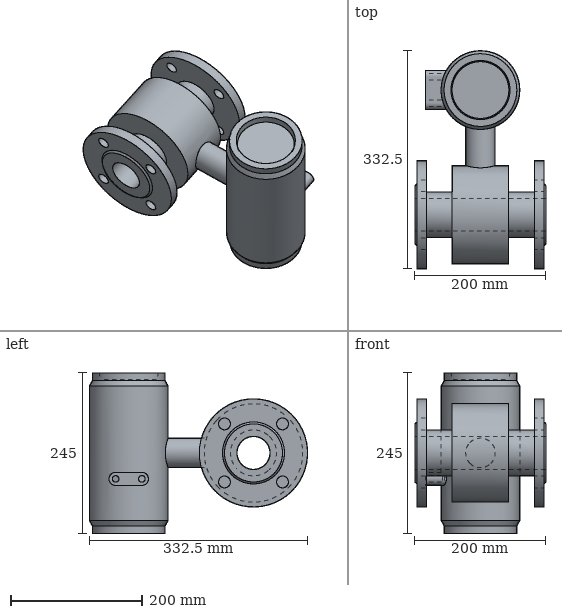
import cadquery as cq
import math

tube_length = 200.0
tube_diameter = 70.0
bore_diameter = 50.0
sensor_diameter = 150.0
sensor_length = 86.0

flange_diameter = 165.0
flange_thickness = 15.0
raised_face_height = 3.0
raised_face_tip_diameter = 88.4
raised_face_base_diameter = raised_face_tip_diameter + 2 * raised_face_height
bolt_circle_diameter = 125.0
bolt_hole_diameter = 18.0
bolt_count = 4
first_bolt_angle = 45.0

housing_offset = 190.0
housing_height = 245.0
housing_diameter = 120.0
collar_diameter = 110.76
collar_height = 12.0
shoulder_angle = 60.0
neck_diameter = 45.0
housing_drop = 0.5

window_rim_diameter = 90.0
window_depth = 10.0
window_draft = 10.0

lug_reach = 84.0
lug_height = 20.0
lug_hole_spacing = 40.0
lug_hole_diameter = 10.0
lug_level = -39.5


def x_cylinder(diameter, x_start, length):
    """Cylinder on the tube axis."""
    return cq.Workplane("YZ", origin=(x_start, 0, 0)).circle(diameter / 2).extrude(length)


def make_flange():
    """Flange of the -X end, with its raised face and bolt holes."""
    tip_x = -tube_length / 2
    outer_x = tip_x + raised_face_height
    inner_x = outer_x + flange_thickness
    profile = [
        (tip_x, 0),
        (tip_x, raised_face_tip_diameter / 2),
        (outer_x, raised_face_base_diameter / 2),
        (outer_x, flange_diameter / 2),
        (inner_x, flange_diameter / 2),
        (inner_x, 0),
    ]
    flange = cq.Workplane("XY").polyline(profile).close().revolve(360, (0, 0, 0), (1, 0, 0))
    bolt_holes = (
        cq.Workplane("YZ", origin=(outer_x, 0, 0))
        .polarArray(bolt_circle_diameter / 2, first_bolt_angle, 360, bolt_count)
        .circle(bolt_hole_diameter / 2)
        .extrude(flange_thickness)
    )
    return flange.cut(bolt_holes)


def make_flow_tube():
    """Tube with the sensor drum and both flanges, before boring."""
    tube = x_cylinder(tube_diameter, -tube_length / 2, tube_length)
    drum = x_cylinder(sensor_diameter, -sensor_length / 2, sensor_length)
    flange = make_flange()
    return tube.union(drum).union(flange).union(flange.mirror("YZ"))


def make_housing():
    """Housing with a collar and sloped shoulder at each end."""
    collar_radius = collar_diameter / 2
    housing_radius = housing_diameter / 2
    shoulder_height = (housing_radius - collar_radius) * math.tan(math.radians(shoulder_angle))
    top = housing_height / 2
    shoulder_top = top - collar_height
    shoulder_base = shoulder_top - shoulder_height
    profile = [
        (0, top),
        (collar_radius, top),
        (collar_radius, shoulder_top),
        (housing_radius, shoulder_base),
        (housing_radius, -shoulder_base),
        (collar_radius, -shoulder_top),
        (collar_radius, -top),
        (0, -top),
    ]
    housing = cq.Workplane("XZ").polyline(profile).close().revolve(360, (0, 0, 0), (0, 1, 0))
    return housing.translate((0, housing_offset, -housing_drop))


def make_window():
    """Tapered recess cut into the top face of the housing."""
    return (
        cq.Workplane("XY", origin=(0, housing_offset, housing_height / 2 - housing_drop))
        .circle(window_rim_diameter / 2)
        .extrude(-window_depth, taper=window_draft)
    )


def make_neck():
    """Round neck from the tube axis to the housing axis."""
    return cq.Workplane("XZ").circle(neck_diameter / 2).extrude(-housing_offset)


def make_lug():
    """Rounded lug whose two holes stop at the housing wall."""
    face = cq.Workplane("YZ", origin=(-lug_reach, housing_offset, lug_level))
    block = face.slot2D(lug_hole_spacing + lug_height, lug_height).extrude(lug_reach)
    holes = (
        face.rarray(lug_hole_spacing, 1, 2, 1)
        .circle(lug_hole_diameter / 2)
        .extrude(lug_reach)
    )
    return block.cut(holes)


bore = x_cylinder(bore_diameter, -tube_length / 2, tube_length)
housing = make_housing().union(make_lug()).cut(make_window())
result = make_flow_tube().union(make_neck()).union(housing).cut(bore)